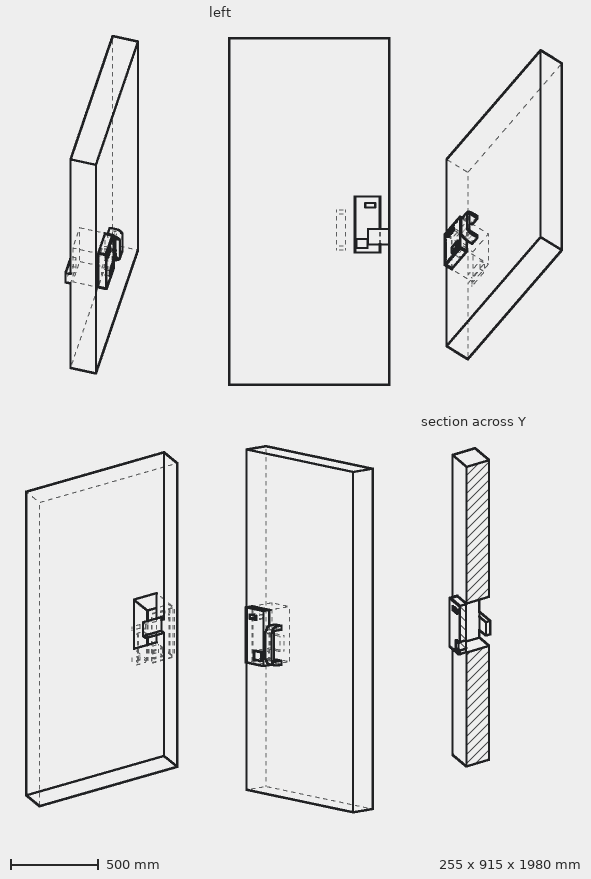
import cadquery as cq

door_thick = 150.0
door_width = 915.0
door_height = 1980.0

cover_y = 50.0
cover_z = 755.0
cover_width = 150.0
cover_height = 320.0
cover_depth = 50.0
cover_wall = 5.0

slot_y = 81.0
slot_z = 1014.0
slot_width = 55.0
slot_height = 24.0

button_y = 125.0
button_z = 782.0
button_width = 63.0
button_height = 51.0
button_rise = 5.0

latch_thick = 30.0
latch_width = 120.0
latch_height = 90.0
latch_z = 802.0

handle_y = 250.0
handle_width = 51.0
handle_z = 770.0
handle_height = 228.0
handle_rise = 75.0
handle_leg = 24.0
grip_thick = 32.0
grip_radius = 24.8
bend_radius = 40.0


def box(x, y, z, dx, dy, dz):
    """A box with its lowest corner at x, y, z."""
    return cq.Workplane("XY").box(dx, dy, dz, centered=False).translate((x, y, z))


def make_door():
    panel = box(0, 0, 0, door_thick, door_width, door_height)
    opening = box(0, cover_y, cover_z, door_thick, cover_width, cover_height)
    latch = box(-latch_thick, 0, latch_z, latch_thick, latch_width, latch_height)
    return panel.cut(opening).union(latch)


def make_slot():
    return box(door_thick, slot_y, slot_z, cover_depth, slot_width, slot_height)


def make_button():
    length = cover_depth + button_rise
    return box(door_thick, button_y, button_z, length, button_width, button_height)


def make_lock_body():
    depth = cover_depth - cover_wall
    width = cover_width - 2 * cover_wall
    block = box(door_thick, cover_y + cover_wall, cover_z, depth, width, cover_height)
    return block.cut(make_slot()).cut(make_button())


def make_cover(lock_body):
    channel = box(door_thick, cover_y, cover_z, cover_depth, cover_width, cover_height)
    return channel.cut(make_slot()).cut(make_button()).cut(lock_body)


def make_handle():
    bow = box(door_thick, handle_y, handle_z, handle_rise, handle_width, handle_height)
    bow = bow.edges("|Y and >X").fillet(bend_radius)

    gap_z = handle_z + handle_leg
    gap_height = handle_height - 2 * handle_leg
    gap = box(door_thick, handle_y, gap_z, handle_rise, handle_width, gap_height)
    grip_x = door_thick + handle_rise - grip_thick
    grip = box(grip_x, handle_y, gap_z, grip_thick, handle_width, gap_height)
    grip = grip.edges("|Z and <X").fillet(grip_radius)
    return bow.cut(gap.cut(grip))


door = make_door()
lock_body = make_lock_body()
cover = make_cover(lock_body)
button = make_button()
handle = make_handle()

bodies = [door, lock_body, cover, button, handle]
result = cq.Compound.makeCompound([body.val() for body in bodies])